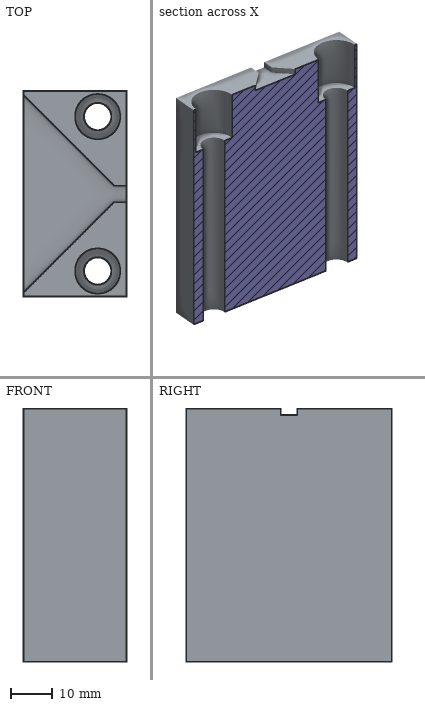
import cadquery as cq

length_x = 25.0
width_y = 50.0
height_z = 61.5

recess_depth = 1.5
slot_width = 4.0
taper_length = 22.0

hole_diameter = 6.6
counterbore_diameter = 11.0
counterbore_depth = 12.3
hole_from_left = 18.0
hole_spacing = 37.5

left_x = -length_x / 2
right_x = length_x / 2
taper_end_x = left_x + taper_length
slot_half_width = slot_width / 2
mouth_half_width = slot_half_width + taper_length


def make_block():
    return cq.Workplane("XY").box(length_x, width_y, height_z, centered=(True, True, False))


def cut_recess(body):
    recess = (
        cq.Workplane("XY", origin=(0, 0, height_z))
        .moveTo(left_x, -mouth_half_width)
        .lineTo(taper_end_x, -slot_half_width)
        .lineTo(right_x, -slot_half_width)
        .lineTo(right_x, slot_half_width)
        .lineTo(taper_end_x, slot_half_width)
        .lineTo(left_x, mouth_half_width)
        .close()
        .extrude(-recess_depth)
    )
    return body.cut(recess)


def cut_screw_holes(body):
    hole_x = left_x + hole_from_left
    hole_centers = [(hole_x, side * hole_spacing / 2) for side in (-1, 1)]
    return (
        body.faces(">Z")
        .workplane(origin=(0, 0, height_z))
        .pushPoints(hole_centers)
        .cboreHole(hole_diameter, counterbore_diameter, counterbore_depth)
    )


result = cut_screw_holes(cut_recess(make_block()))